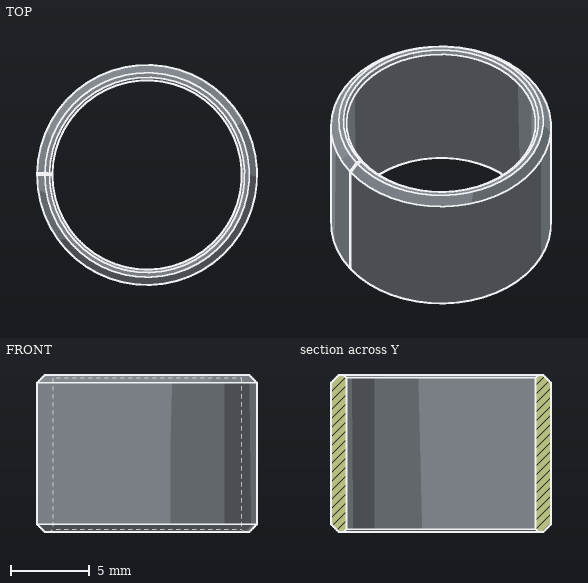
import cadquery as cq

outer_diameter = 14.0
wall = 1.0
length = 10.0
outer_chamfer = 0.5
inner_chamfer = 0.2
slit_angle = 1.0

outer_radius = outer_diameter / 2
inner_radius = outer_radius - wall


def wall_section():
    """Wall profile on the -X side, chamfered at all four corners."""
    return (
        cq.Workplane("XZ")
        .moveTo(-outer_radius, outer_chamfer)
        .lineTo(-outer_radius + outer_chamfer, 0)
        .lineTo(-inner_radius - inner_chamfer, 0)
        .lineTo(-inner_radius, inner_chamfer)
        .lineTo(-inner_radius, length - inner_chamfer)
        .lineTo(-inner_radius - inner_chamfer, length)
        .lineTo(-outer_radius + outer_chamfer, length)
        .lineTo(-outer_radius, length - outer_chamfer)
        .close()
    )


result = wall_section().revolve(360 - slit_angle, (0, 0, 0), (0, 1, 0))